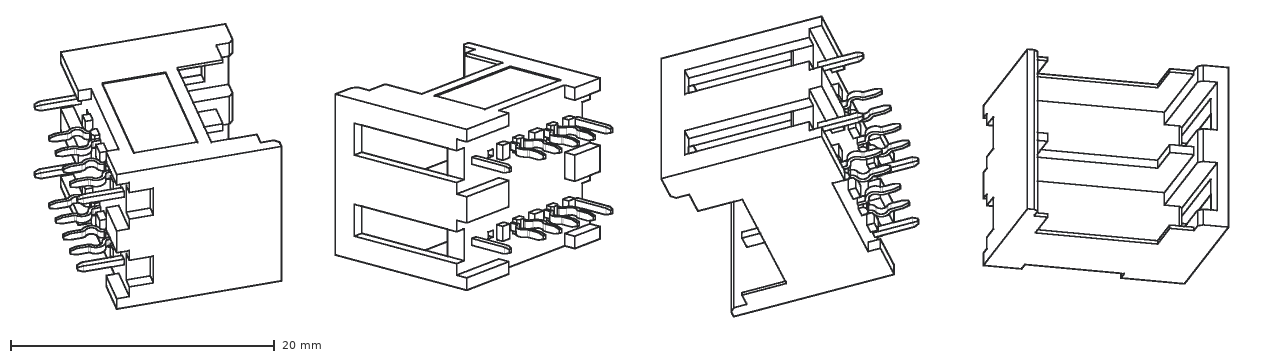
import cadquery as cq
import math


WIDTH = 15.8
HEIGHT = 12.9
DEPTH = 13.0
LEFT = -WIDTH / 2
RIGHT = WIDTH / 2
ROW_PITCH = 6.5
ROW_HEIGHTS = (-ROW_PITCH / 2, ROW_PITCH / 2)
FRONT_Y = 1.0

STANDOFF_LEFT_LENGTH = 5.0
STANDOFF_RIGHT_LENGTH = 3.0
STANDOFF_EDGE_HEIGHT = 1.0
STANDOFF_MIDDLE_HEIGHT = 2.1

LEFT_WALL_X = LEFT + 2.35
RIGHT_WALL_X = RIGHT - 0.9
OPENING_LEFT_X = LEFT + 4.25
OPENING_RIGHT_X = RIGHT - 1.95
OPENING_BOTTOM_Y = 8.0
LEDGE_Y = 11.6
ENTRY_CHAMFER = 0.35

LID_THICKNESS = 0.32
CAVITY_HEIGHT = ROW_PITCH - 2 * LID_THICKNESS
CAVITY_FRONT_Y = 2.9
RIGHT_RAMP_Y = 7.1
RIGHT_RAMP_DEPTH = 0.4
THICK_WALL_X = RIGHT_WALL_X - RIGHT_RAMP_DEPTH

SLOT_DEPTH = 0.9
SLOT_HEIGHT = 2.55
SLOT_BACK_Y = 11.1
KEYWAY_HEIGHT = SLOT_HEIGHT + 1.3
KEYWAY_CHAMFER = 0.27

PITCH = 2.0
FIELD_X = 1.15
PAIR_CENTRES = (FIELD_X - PITCH, FIELD_X + PITCH)

PANEL_WIDTH = 9.0
PANEL_LENGTH = 5.0
PANEL_CENTRE_Y = 4.5
PANEL_DEPTH = 0.1

BLOCK_HEIGHT = 1.2
BLOCK_LENGTH = 0.6
SIDE_BLOCK_WIDTH = 0.8
SIDE_BLOCK_OFFSET = 3.9
MIDDLE_BLOCK_WIDTH = 1.05
POST_WIDTH = 0.8
POST_CHAMFER = 0.2

HOLE_SIZE = 0.55
HOLE_DEPTH = 1.0
HOLE_X = FIELD_X - 2.5 * PITCH

PIN_TIP_Y = -2.6
PIN_ROOT_Y = FRONT_Y + 0.5
PIN_SPACING = 6 * PITCH
PIN_CENTRE_X = 0.15
PIN_WIDTH = 0.5
PIN_HEIGHT = 0.55
PIN_TAPER = 0.4
PIN_TIP_RATIO = 0.55
TAIL_THICKNESS = 0.27
TAIL_HEIGHT = 0.6
TAIL_SHIFT = 0.03
TAIL_ROOT = (0.53, PIN_ROOT_Y)
KNEE_START = (0.53, 0.42)
KNEE_MIDDLE = (0.60, 0.24)
KNEE_END = (0.78, 0.13)
BULGE_PEAK = (1.25, -0.45)
BULGE_END = (1.03, -0.97)
ANKLE_MIDDLE = (0.97, -1.08)
ANKLE_END = (0.95, -1.20)
TAIL_END = (0.95, PIN_TIP_Y - TAIL_THICKNESS)
TAIL_TIP_TAPER = 0.5
TAIL_TIP_CHAMFER = 0.15


def box(x0, x1, y0, y1, z_centre, height):
    """Block between two X and two Y positions, centred on a height."""
    return cq.Workplane("XY").box(x1 - x0, y1 - y0, height).translate(
        ((x0 + x1) / 2, (y0 + y1) / 2, z_centre)
    )


def prism(points, z_centre, height):
    """Extrude an XY outline, centred on a height."""
    base = cq.Workplane("XY").workplane(offset=z_centre - height / 2)
    return base.polyline(points).close().extrude(height)


def housing_block():
    """Front block with the standoffs and the U-shaped rear opening."""
    body = box(LEFT, RIGHT, FRONT_Y, DEPTH, 0, HEIGHT)
    edge_z = (HEIGHT - STANDOFF_EDGE_HEIGHT) / 2
    standoffs = (
        (-edge_z, STANDOFF_EDGE_HEIGHT),
        (0, STANDOFF_MIDDLE_HEIGHT),
        (edge_z, STANDOFF_EDGE_HEIGHT),
    )
    for z, height in standoffs:
        body = body.union(box(LEFT, LEFT + STANDOFF_LEFT_LENGTH, 0, FRONT_Y, z, height))
        body = body.union(box(RIGHT - STANDOFF_RIGHT_LENGTH, RIGHT, 0, FRONT_Y, z, height))
    opening = prism(
        [
            (LEFT_WALL_X - ENTRY_CHAMFER, DEPTH),
            (LEFT_WALL_X, DEPTH - ENTRY_CHAMFER),
            (LEFT_WALL_X, LEDGE_Y),
            (OPENING_LEFT_X, LEDGE_Y),
            (OPENING_LEFT_X, OPENING_BOTTOM_Y),
            (OPENING_RIGHT_X, OPENING_BOTTOM_Y),
            (OPENING_RIGHT_X, LEDGE_Y),
            (RIGHT_WALL_X, LEDGE_Y),
            (RIGHT_WALL_X, DEPTH - ENTRY_CHAMFER),
            (RIGHT_WALL_X + ENTRY_CHAMFER, DEPTH),
        ],
        0,
        HEIGHT,
    )
    return body.cut(opening)


def row_cuts(z):
    """Cavity, keyway, side slots and blind hole of one row."""
    cavity = prism(
        [
            (LEFT_WALL_X, CAVITY_FRONT_Y),
            (THICK_WALL_X, CAVITY_FRONT_Y),
            (THICK_WALL_X, RIGHT_RAMP_Y - RIGHT_RAMP_DEPTH),
            (RIGHT_WALL_X, RIGHT_RAMP_Y),
            (RIGHT_WALL_X, DEPTH - ENTRY_CHAMFER),
            (LEFT_WALL_X, DEPTH - ENTRY_CHAMFER),
        ],
        z,
        CAVITY_HEIGHT,
    )
    slot_x = LEFT + SLOT_DEPTH
    keyway = prism(
        [
            (slot_x, CAVITY_FRONT_Y - KEYWAY_CHAMFER),
            (slot_x + KEYWAY_CHAMFER, CAVITY_FRONT_Y),
            (LEFT_WALL_X, CAVITY_FRONT_Y),
            (LEFT_WALL_X, DEPTH),
            (slot_x, DEPTH),
        ],
        z,
        KEYWAY_HEIGHT,
    )
    left_slot = box(LEFT, slot_x, FRONT_Y, SLOT_BACK_Y, z, SLOT_HEIGHT)
    right_slot = box(RIGHT - SLOT_DEPTH, RIGHT, FRONT_Y, CAVITY_FRONT_Y, z, SLOT_HEIGHT)
    half_hole = HOLE_SIZE / 2
    hole = box(HOLE_X - half_hole, HOLE_X + half_hole, FRONT_Y, FRONT_Y + HOLE_DEPTH, z, HOLE_SIZE)
    return cavity.union(keyway).union(left_slot).union(right_slot).union(hole)


def block(x, width, z):
    """Spacer block standing on the front wall."""
    return box(x - width / 2, x + width / 2, FRONT_Y - BLOCK_LENGTH, FRONT_Y, z, BLOCK_HEIGHT)


def locating_pin(x, z):
    """Rectangular pin with a tapered tip."""
    taper_y = PIN_TIP_Y + PIN_TAPER
    shank = box(x - PIN_WIDTH / 2, x + PIN_WIDTH / 2, taper_y, PIN_ROOT_Y, z, PIN_HEIGHT)
    tip = (
        cq.Workplane("XZ", origin=(x, taper_y, z))
        .rect(PIN_WIDTH, PIN_HEIGHT)
        .workplane(offset=PIN_TAPER)
        .rect(PIN_WIDTH * PIN_TIP_RATIO, PIN_HEIGHT * PIN_TIP_RATIO)
        .loft(ruled=True)
    )
    return shank.union(tip)


def contact_tail(pair_x, side, z):
    """Kinked strip bulging away from its pair centre; side is -1 or +1."""

    def place(point):
        offset, y = point
        return (pair_x + side * offset, y)

    strip = (
        cq.Workplane("XY", origin=(0, 0, z - TAIL_HEIGHT / 2))
        .moveTo(*place(TAIL_ROOT))
        .lineTo(*place(KNEE_START))
        .threePointArc(place(KNEE_MIDDLE), place(KNEE_END))
        .threePointArc(place(BULGE_PEAK), place(BULGE_END))
        .threePointArc(place(ANKLE_MIDDLE), place(ANKLE_END))
        .lineTo(*place(TAIL_END))
        .wire()
        .offset2D(TAIL_THICKNESS / 2)
        .extrude(TAIL_HEIGHT)
    )
    half = TAIL_HEIGHT / 2
    tip_half = half - TAIL_TIP_CHAMFER
    side_profile = (
        cq.Workplane("YZ", origin=(pair_x, 0, z))
        .polyline(
            [
                (PIN_ROOT_Y, -half),
                (PIN_ROOT_Y, half),
                (PIN_TIP_Y + TAIL_TIP_TAPER, half),
                (PIN_TIP_Y, tip_half),
                (PIN_TIP_Y, -tip_half),
                (PIN_TIP_Y + TAIL_TIP_TAPER, -half),
            ]
        )
        .close()
        .extrude(PITCH, both=True)
    )
    return strip.intersect(side_profile)


def contact_pair(pair_x, z):
    """Chamfered post with a contact tail on each side."""
    post = block(pair_x, POST_WIDTH, z).faces("<Y").edges("|Z").chamfer(POST_CHAMFER)
    tail_z = z - math.copysign(TAIL_SHIFT, z)
    return post.union(contact_tail(pair_x, -1, tail_z)).union(contact_tail(pair_x, 1, tail_z))


def label_panel():
    """Shallow rectangular recess in the top face."""
    return box(
        FIELD_X - PANEL_WIDTH / 2,
        FIELD_X + PANEL_WIDTH / 2,
        PANEL_CENTRE_Y - PANEL_LENGTH / 2,
        PANEL_CENTRE_Y + PANEL_LENGTH / 2,
        HEIGHT / 2 - PANEL_DEPTH / 2,
        PANEL_DEPTH,
    )


result = housing_block().cut(label_panel())
for row_z in ROW_HEIGHTS:
    result = result.cut(row_cuts(row_z))
    result = result.union(block(FIELD_X, MIDDLE_BLOCK_WIDTH, row_z))
    for direction in (-1, 1):
        block_x = FIELD_X + direction * SIDE_BLOCK_OFFSET
        result = result.union(block(block_x, SIDE_BLOCK_WIDTH, row_z))
        pin_x = PIN_CENTRE_X + direction * PIN_SPACING / 2
        result = result.union(locating_pin(pin_x, row_z))
    for centre_x in PAIR_CENTRES:
        result = result.union(contact_pair(centre_x, row_z))